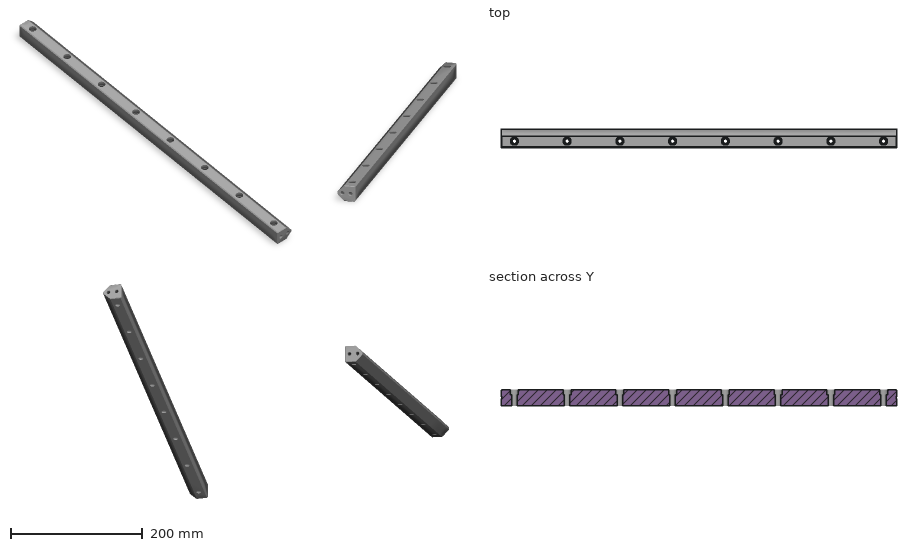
import cadquery as cq
import math

LENGTH = 600.0
WIDTH = 28.0
HEIGHT = 25.0

V_DEPTH = 11.0
TIP_HALF_HEIGHT = HEIGHT / 2 - V_DEPTH

BACK_CHAMFER = 1.4
END_CHAMFER = 1.0

MOUNT_COUNT = 8
MOUNT_PITCH = 80.0
MOUNT_FROM_BACK = 9.85
MOUNT_DIAMETER = 7.5
MOUNT_BORE_DIAMETER = 11.5
MOUNT_BORE_DEPTH = 7.0

END_HOLE_DIAMETER = 5.19
END_HOLE_DEPTH = 15.0
END_HOLES_FROM_BACK = (7.25, 20.0)
END_SINK_DIAMETER = 6.5
DRILL_POINT_ANGLE = 120.0

END_X = LENGTH / 2
TOP_Z = HEIGHT / 2


def rail_body():
    """Extrude the V-edged cross-section, with chamfered back edges, along X."""
    shoulder_y = WIDTH - V_DEPTH
    profile = [
        (0, -TOP_Z),
        (shoulder_y, -TOP_Z),
        (WIDTH, -TIP_HALF_HEIGHT),
        (WIDTH, TIP_HALF_HEIGHT),
        (shoulder_y, TOP_Z),
        (0, TOP_Z),
    ]
    body = cq.Workplane("YZ", origin=(-END_X, 0, 0)).polyline(profile).close().extrude(LENGTH)
    return body.faces("<Y").edges("|X").chamfer(BACK_CHAMFER)


def end_chamfer_envelope():
    """Region kept by the end chamfers; the V slopes themselves reach the end faces sharp."""
    inner_x = END_X - END_CHAMFER
    inner_z = TOP_Z - END_CHAMFER
    side_outline = [
        (-inner_x, -TOP_Z),
        (inner_x, -TOP_Z),
        (END_X, -inner_z),
        (END_X, inner_z),
        (inner_x, TOP_Z),
        (-inner_x, TOP_Z),
        (-END_X, inner_z),
        (-END_X, -inner_z),
    ]
    plan_outline = [
        (-inner_x, 0),
        (inner_x, 0),
        (END_X, END_CHAMFER),
        (END_X, WIDTH),
        (-END_X, WIDTH),
        (-END_X, END_CHAMFER),
    ]
    side = cq.Workplane("XZ").polyline(side_outline).close().extrude(-WIDTH)
    plan = cq.Workplane("XY", origin=(0, 0, -TOP_Z)).polyline(plan_outline).close().extrude(HEIGHT)
    return side.intersect(plan)


def mounting_holes():
    """Counterbored through holes in one row, evenly spaced along X."""
    top = cq.Workplane("XY", origin=(0, MOUNT_FROM_BACK, TOP_Z))
    centres = top.rarray(MOUNT_PITCH, 1, MOUNT_COUNT, 1)
    bores = centres.circle(MOUNT_BORE_DIAMETER / 2).extrude(-MOUNT_BORE_DEPTH)
    return centres.circle(MOUNT_DIAMETER / 2).extrude(-HEIGHT).union(bores)


def end_hole(side, from_back):
    """One blind hole at mid height; side is -1 for the -X end and 1 for the +X end."""
    hole_radius = END_HOLE_DIAMETER / 2
    sink_radius = END_SINK_DIAMETER / 2
    sink_depth = sink_radius - hole_radius
    point_length = hole_radius / math.tan(math.radians(DRILL_POINT_ANGLE / 2))
    half_section = [
        (END_X, 0),
        (END_X, sink_radius),
        (END_X - sink_depth, hole_radius),
        (END_X - END_HOLE_DEPTH, hole_radius),
        (END_X - END_HOLE_DEPTH - point_length, 0),
    ]
    points = [(side * x, radius) for x, radius in half_section]
    section = cq.Workplane("XZ", origin=(0, from_back, 0)).polyline(points).close()
    return section.revolve(360, (0, 0, 0), (1, 0, 0))


result = rail_body().intersect(end_chamfer_envelope()).cut(mounting_holes())
for end_side in (-1, 1):
    for hole_from_back in END_HOLES_FROM_BACK:
        result = result.cut(end_hole(end_side, hole_from_back))